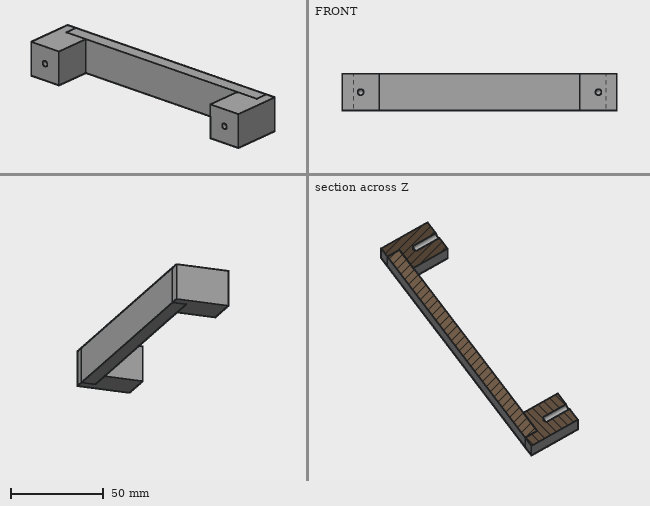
import cadquery as cq
import math

length = 148.0
depth = 30.0
height = 20.0

post_width = 20.0
bar_thickness = 8.0
post_end_wall = 6.0

hole_diameter = 3.3
hole_depth = 14.8
drill_point_angle = 118.0

back_y = depth / 2
mount_y = -depth / 2
post_offset = (length - post_width) / 2
bar_length = length - 2 * post_end_wall


def make_bar():
    """Flat bar, flush with the back, top and bottom of the posts."""
    return cq.Workplane("XY").box(bar_length, bar_thickness, height).translate(
        (0, back_y - bar_thickness / 2, 0)
    )


def make_drill(center_x):
    """Cylinder with a conical tip, entering a post from its mounting face."""
    radius = hole_diameter / 2
    tip_length = radius / math.tan(math.radians(drill_point_angle / 2))
    profile = (
        cq.Workplane("XY")
        .moveTo(0, 0)
        .lineTo(radius, 0)
        .lineTo(radius, hole_depth)
        .lineTo(0, hole_depth + tip_length)
        .close()
    )
    return profile.revolve(360, (0, 0), (0, 1)).translate((center_x, mount_y, 0))


def make_post(center_x, bar):
    """Post with a recess for the bar end and a drilled screw hole."""
    block = cq.Workplane("XY").box(post_width, depth, height).translate((center_x, 0, 0))
    return block.cut(bar).cut(make_drill(center_x))


bar = make_bar()
posts = [make_post(side * post_offset, bar) for side in (-1, 1)]

result = cq.Compound.makeCompound([bar.val(), *[post.val() for post in posts]])